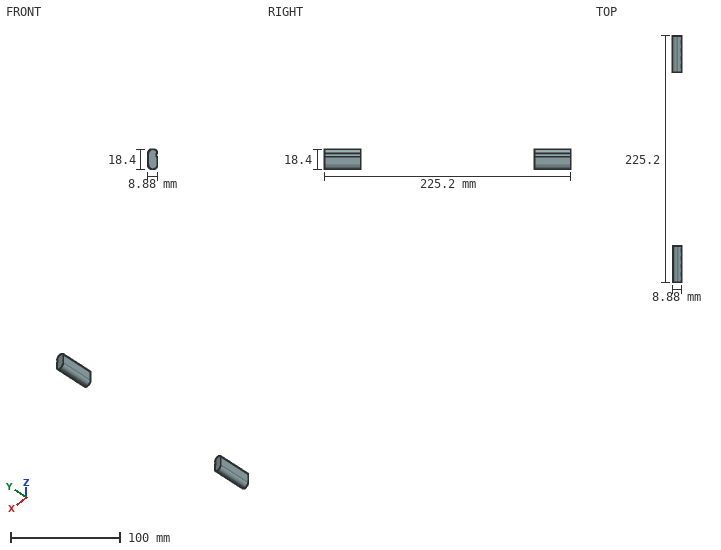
import cadquery as cq

total_width = 8.88
total_length = 225.2
height = 18.45

strip_length = 33.35
narrow_width = 8.22
wide_width = 8.76
edge_radius = 4.02

groove_radius = 2.0
groove_depth = 1.05
groove_drop = 5.4


def make_strip(width, right_side, front_y):
    """Strip along Y with four rounded long edges and a groove in its +X side."""
    body = (
        cq.Workplane("XY")
        .box(width, strip_length, height)
        .edges("|Y")
        .fillet(edge_radius)
        .translate((right_side - width / 2, front_y + strip_length / 2, 0))
    )
    groove_x = right_side + groove_radius - groove_depth
    groove_z = height / 2 - groove_drop
    groove = (
        cq.Workplane("XZ", origin=(groove_x, front_y, groove_z))
        .circle(groove_radius)
        .extrude(-strip_length)
    )
    return body.cut(groove)


narrow_strip = make_strip(narrow_width, total_width / 2, -total_length / 2)

wide_strip = make_strip(wide_width, wide_width - total_width / 2, total_length / 2 - strip_length)

result = cq.Compound.makeCompound([narrow_strip.val(), wide_strip.val()])